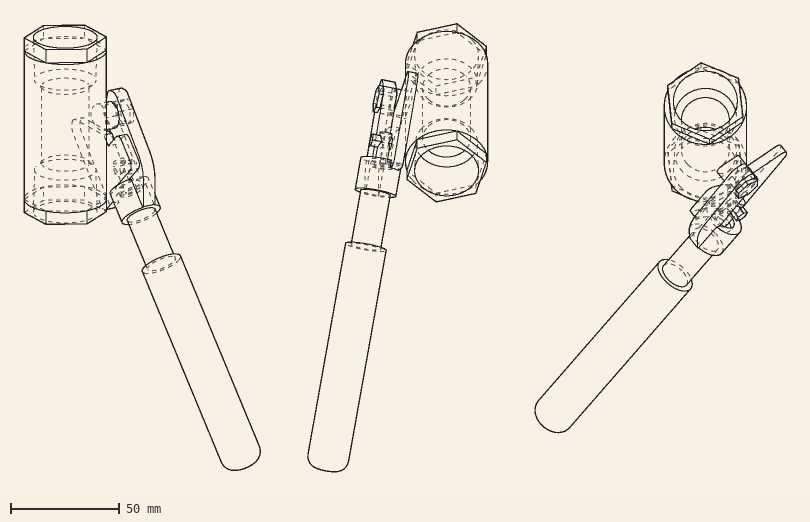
import cadquery as cq
import math

body_diameter = 38.0
body_height = 85.7
end_hex_height = 6.5
bore_diameter = 22.0
port_mouth_diameter = 29.5
relief_diameter = 28.5
taper_depth = 14.3
relief_length = 6.5

stem_diameter = 12.6
stem_end_y = 33.5

lever_y = 28.5
lever_angle = math.radians(46.4)
lever_offset = 15.2

pin_start = 17.3
rivet_along = 21.5
collar_start = 30.5
collar_end = 45.5
grip_start = 71.0
grip_end = 176.5

pin_diameter = 5.5
grip_diameter = 19.1
collar_diameter = grip_diameter
collar_recess_diameter = 11.1
collar_recess_depth = 2.8
rod_diameter = 14.0
grip_end_fillet = 5.5

rivet_diameter = 6.3
rivet_end_y = 34.7
rivet_across = -14.5
rivet_turn = math.radians(110)

corner_radius = 3.2
drive_plate_thickness = 6.3
stop_plate_thickness = 4.5
drive_plate_y = lever_y - drive_plate_thickness / 2
stop_plate_y = drive_plate_y - stop_plate_thickness

drive_top_z = 11.5
drive_top_left_x = -3.5
drive_left_corner = (-7.2, -2.0)
drive_upper_angle = math.radians(49.6)
drive_upper_distance = 9.5
drive_lower_across = -9.3
drive_right_x = 27.5
drive_bend_radius = 19.0

wing_left_x = -27.8
wing_top_z = -9.0
wing_bottom_z = -15.2
tab_across = stem_diameter / 2
tab_start = 12.2
tab_end = 29.9
tip_across = -32.5
tip_along = 34.0


def lever_point(along, across):
    """X, Z of a point given along the lever direction and across it, from the stem centre."""
    return (
        along * math.cos(lever_angle) + across * math.sin(lever_angle),
        -along * math.sin(lever_angle) + across * math.cos(lever_angle),
    )


def upright_workplane(y):
    """XZ workplane at the given Y. Its normal is -Y, so a negative extrusion goes toward +Y."""
    return cq.Workplane("XZ", origin=(0, y, 0))


def plate(outline, y, thickness):
    return upright_workplane(y).polyline(outline).close().extrude(-thickness)


def round_corner(part, corner, y, radius):
    edge = cq.selectors.NearestToPointSelector((corner[0], y, corner[1]))
    return part.edges("|Y").edges(edge).fillet(radius)


def hex_outline(centre, diameter, turn):
    """Corners of a hexagon in XZ, with its first corner at angle turn."""
    angles = [turn + math.radians(60 * i) for i in range(6)]
    radius = diameter / 2
    return [(centre[0] + radius * math.cos(a), centre[1] + radius * math.sin(a)) for a in angles]


def lever_cylinder(diameter, start, end):
    x, z = lever_point(start, -lever_offset)
    direction = cq.Vector(math.cos(lever_angle), 0, -math.sin(lever_angle))
    base = cq.Vector(x, lever_y, z)
    return cq.Workplane(cq.Solid.makeCylinder(diameter / 2, end - start, base, direction))


def make_stem():
    """Round stem from the tube centre to the drive plate, then a hexagon with a corner on top."""
    round_part = upright_workplane(0).circle(stem_diameter / 2).extrude(-drive_plate_y)
    outline = hex_outline((0, 0), stem_diameter, math.radians(90))
    return round_part.union(plate(outline, drive_plate_y, stem_end_y - drive_plate_y))


def make_passage():
    """Space inside the tube: bore, cone, relief and taper of the upper half, mirrored to the lower."""
    mouth_z = body_height / 2
    taper_end_z = mouth_z - taper_depth
    relief_end_z = taper_end_z - relief_length
    cone_height = (relief_diameter - bore_diameter) / 2
    outline = [
        (0, 0),
        (bore_diameter / 2, 0),
        (bore_diameter / 2, relief_end_z - cone_height),
        (relief_diameter / 2, relief_end_z),
        (relief_diameter / 2, taper_end_z),
        (port_mouth_diameter / 2, mouth_z),
        (0, mouth_z),
    ]
    upper_half = cq.Workplane("XZ").polyline(outline).close().revolve(360, (0, 0), (0, 1))
    return upper_half.union(upper_half.mirror("XY"))


def make_valve_body():
    half_height = body_height / 2
    barrel_height = body_height - 2 * end_hex_height
    tube = cq.Workplane("XY").circle(body_diameter / 2).extrude(barrel_height / 2, both=True)
    tube = tube.union(cq.Workplane("XY").polygon(6, body_diameter).extrude(half_height, both=True))
    return tube.union(make_stem()).cut(make_passage())


def make_drive_plate():
    upper_sin = math.sin(drive_upper_angle)
    upper_cos = math.cos(drive_upper_angle)
    top_right_x = (drive_upper_distance - drive_top_z * upper_cos) / upper_sin
    bend_z = (drive_upper_distance - drive_right_x * upper_sin) / upper_cos
    right_foot_z = (drive_right_x * math.cos(lever_angle) - collar_end) / math.sin(lever_angle)
    top_left = (drive_top_left_x, drive_top_z)
    top_right = (top_right_x, drive_top_z)
    bend = (drive_right_x, bend_z)
    outline = [
        drive_left_corner,
        top_left,
        top_right,
        bend,
        (drive_right_x, right_foot_z),
        lever_point(collar_end, drive_lower_across),
    ]
    part = plate(outline, drive_plate_y, drive_plate_thickness)
    for corner in (drive_left_corner, top_left, top_right):
        part = round_corner(part, corner, lever_y, corner_radius)
    return round_corner(part, bend, lever_y, drive_bend_radius)


def make_stop_plate():
    notch_start = (-wing_top_z - tab_across * math.cos(lever_angle)) / math.sin(lever_angle)
    wing_top = (wing_left_x, wing_top_z)
    wing_bottom = (wing_left_x, wing_bottom_z)
    tab_left = lever_point(tab_start, tab_across)
    tab_right = lever_point(tab_end, tab_across)
    tip = lever_point(tip_along, tip_across)
    outline = [
        wing_bottom,
        wing_top,
        lever_point(notch_start, -tab_across),
        lever_point(tab_start, -tab_across),
        tab_left,
        tab_right,
        lever_point(tab_end, -lever_offset),
        lever_point(tip_along, -lever_offset),
        tip,
    ]
    part = plate(outline, stop_plate_y, stop_plate_thickness)
    for corner in (wing_top, wing_bottom, tab_left, tab_right, tip):
        part = round_corner(part, corner, stop_plate_y + stop_plate_thickness / 2, corner_radius)
    return part


def make_rivet():
    centre = lever_point(rivet_along, rivet_across)
    outline = hex_outline(centre, rivet_diameter, rivet_turn)
    return plate(outline, drive_plate_y, rivet_end_y - drive_plate_y)


def make_lever():
    collar = lever_cylinder(collar_diameter, collar_start, collar_end)
    grip = lever_cylinder(grip_diameter, grip_start, grip_end)
    tip_x, tip_z = lever_point(grip_end, -lever_offset)
    grip_tip = cq.selectors.NearestToPointSelector((tip_x, lever_y, tip_z))
    grip = grip.faces(grip_tip).edges().fillet(grip_end_fillet)
    recess_end = collar_start + collar_recess_depth
    lever = collar.union(make_drive_plate()).union(make_stop_plate())
    lever = lever.cut(lever_cylinder(collar_recess_diameter, collar_start, recess_end))
    lever = lever.union(lever_cylinder(rod_diameter, recess_end, grip_start)).union(grip)
    lever = lever.union(lever_cylinder(pin_diameter, pin_start, collar_end)).union(make_rivet())
    return lever.cut(make_stem())


valve_body = make_valve_body()
lever = make_lever()
result = cq.Compound.makeCompound([*valve_body.solids().vals(), *lever.solids().vals()])